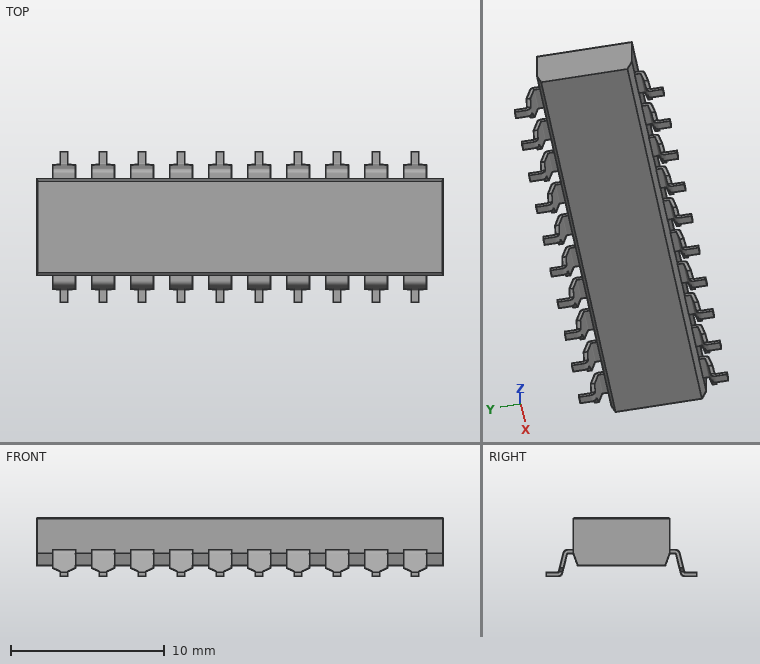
import cadquery as cq
import math

body_length = 26.45
body_width = 6.3
base_width = 5.7
standoff = 0.71
waist_height = 1.5
overall_height = 3.83
top_bevel_height = 0.08
top_bevel_along_ends = 0.05
top_bevel_along_sides = 0.15

lead_span = 9.8
leads_per_side = 10
lead_pitch = 2.55
lead_row_shift = -0.03
lead_thickness = 0.26
lead_top = 1.75
shoulder_reach = 0.35
bend_angle = math.radians(76)
inner_radius = 0.05
outer_radius = inner_radius + lead_thickness
embed_depth = 0.26

shoulder_width = 1.5
foot_width = 0.5
taper_top = 0.55
taper_bottom = 0.32


def make_body():
    """Long block with drafted lower sides and a slightly bevelled top rim."""
    rim_height = overall_height - top_bevel_height
    half_profile = [
        (0, standoff),
        (base_width / 2, standoff),
        (body_width / 2, waist_height),
        (body_width / 2, rim_height),
        (0, rim_height),
    ]
    block = cq.Workplane("YZ").polyline(half_profile).mirrorY().extrude(body_length / 2, both=True)
    top_length = body_length - 2 * top_bevel_along_ends
    top_width = body_width - 2 * top_bevel_along_sides
    cap = (
        cq.Workplane("XY", origin=(0, 0, rim_height))
        .rect(body_length, body_width)
        .workplane(offset=top_bevel_height)
        .rect(top_length, top_width)
        .loft(ruled=True)
    )
    return block.union(cap)


def around(center, radius, angle):
    """Point on a bend circle, with the angle measured from +Z towards +Y."""
    return (center[0] + radius * math.sin(angle), center[1] + radius * math.cos(angle))


def make_lead():
    """Gull-wing lead on the +Y side, centred on X = 0."""
    upper_center = (body_width / 2 + shoulder_reach, lead_top - outer_radius)
    center_drop = upper_center[1] - outer_radius
    center_run = (inner_radius + outer_radius + center_drop * math.cos(bend_angle)) / math.sin(bend_angle)
    lower_center = (upper_center[0] + center_run, outer_radius)

    root = body_width / 2 - embed_depth
    toe = lead_span / 2
    half_bend = bend_angle / 2
    strip = (
        cq.Workplane("YZ")
        .moveTo(root, lead_top)
        .lineTo(*around(upper_center, outer_radius, 0))
        .threePointArc(
            around(upper_center, outer_radius, half_bend),
            around(upper_center, outer_radius, bend_angle),
        )
        .lineTo(*around(lower_center, -inner_radius, bend_angle))
        .threePointArc(
            around(lower_center, -inner_radius, half_bend),
            around(lower_center, -inner_radius, 0),
        )
        .lineTo(toe, lead_thickness)
        .lineTo(toe, 0)
        .lineTo(*around(lower_center, -outer_radius, 0))
        .threePointArc(
            around(lower_center, -outer_radius, half_bend),
            around(lower_center, -outer_radius, bend_angle),
        )
        .lineTo(*around(upper_center, inner_radius, bend_angle))
        .threePointArc(
            around(upper_center, inner_radius, half_bend),
            around(upper_center, inner_radius, 0),
        )
        .lineTo(root, lead_top - lead_thickness)
        .close()
        .extrude(shoulder_width / 2, both=True)
    )

    half_outline = [
        (0, lead_top),
        (shoulder_width / 2, lead_top),
        (shoulder_width / 2, taper_top),
        (foot_width / 2, taper_bottom),
        (foot_width / 2, 0),
        (0, 0),
    ]
    outline = cq.Workplane("XZ").polyline(half_outline).mirrorY().extrude(-lead_span / 2)
    return strip.intersect(outline)


result = make_body()
back_lead = make_lead()
front_lead = back_lead.mirror("XZ")
for index in range(leads_per_side):
    lead_x = (index - (leads_per_side - 1) / 2) * lead_pitch + lead_row_shift
    for lead in (back_lead, front_lead):
        result = result.union(lead.translate((lead_x, 0, 0)))